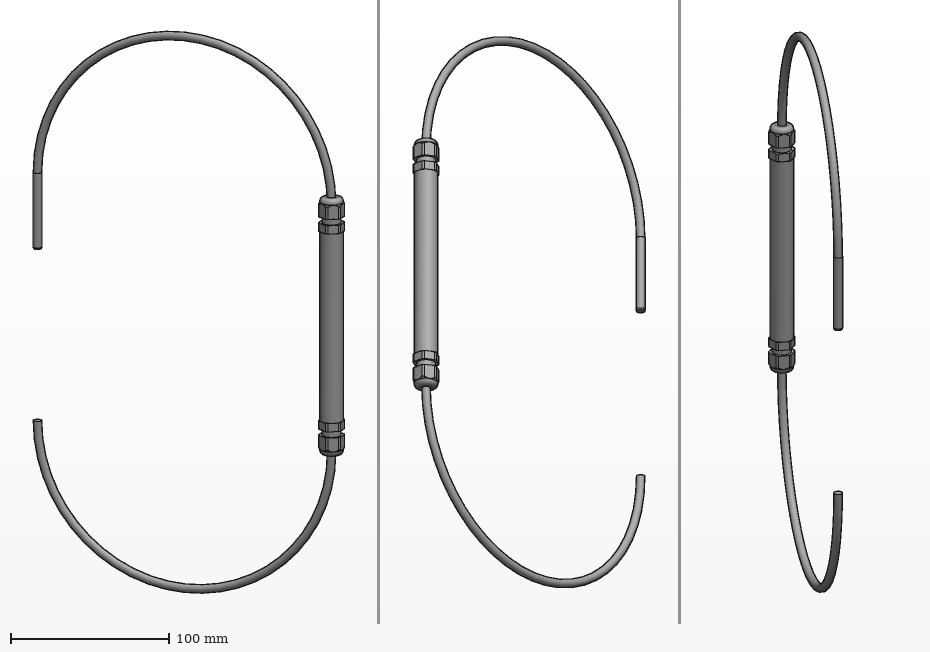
import cadquery as cq

loop_radius = 100.0
cable_diameter = 5.5
overall_height = 368.7
arc_center_z = overall_height / 2 - loop_radius - cable_diameter / 2

sleeve_diameter = 6.0
sleeve_length = 50.0
sleeve_end_diameter = 5.0
sleeve_chamfer_height = 1.0

tube_diameter = 15.0
tube_length = 124.5
tube_center_z = 2.0

across_flats = tube_diameter
corner_diameter = 16.5
base_nut_height = 5.5
neck_diameter = 12.0
neck_height = 4.0
cap_nut_height = 9.2
nut_chamfer_height = 1.0
cap_height = 3.7
cap_face_diameter = 9.0
cap_rounding = (across_flats - cap_face_diameter) / 2


def half_loop(side):
    """Half-circle cable; side is +1 for the upper cable and -1 for the lower one."""
    end_z = side * arc_center_z
    path = (
        cq.Workplane("XZ")
        .moveTo(-loop_radius, end_z)
        .threePointArc((0, side * (arc_center_z + loop_radius)), (loop_radius, end_z))
    )
    return (
        cq.Workplane("XY", origin=(-loop_radius, 0, end_z))
        .circle(cable_diameter / 2)
        .sweep(path)
    )


def make_sleeve():
    """Round sleeve hanging from the end of the upper cable, chamfered at its lower end."""
    return (
        cq.Workplane("XY", origin=(-loop_radius, 0, arc_center_z))
        .circle(sleeve_diameter / 2)
        .extrude(-sleeve_length)
        .faces("<Z")
        .chamfer(sleeve_chamfer_height, (sleeve_diameter - sleeve_end_diameter) / 2)
    )


def make_tube():
    """Round tube between the two glands."""
    return (
        cq.Workplane("XY", origin=(loop_radius, 0, tube_center_z - tube_length / 2))
        .circle(tube_diameter / 2)
        .extrude(tube_length)
    )


def hex_nut(bottom_z, height):
    """Hexagon with flats facing X and its corners turned down to the corner diameter."""
    hexagon = (
        cq.Workplane("XY")
        .workplane(offset=bottom_z)
        .polygon(6, across_flats, circumscribed=True)
        .extrude(height)
    )
    return hexagon.intersect(disc(bottom_z, height, corner_diameter))


def disc(bottom_z, height, diameter):
    """Cylinder about the Z axis."""
    return cq.Workplane("XY").workplane(offset=bottom_z).circle(diameter / 2).extrude(height)


def make_gland():
    """Gland on the Z axis: base nut on Z = 0, neck, cap nut and rounded cap pointing up."""
    neck_z = base_nut_height
    cap_nut_z = neck_z + neck_height
    cap_z = cap_nut_z + cap_nut_height

    base_nut = hex_nut(0, base_nut_height)
    neck = disc(neck_z, neck_height, neck_diameter)
    chamfered_blank = (
        disc(cap_nut_z, cap_nut_height, corner_diameter)
        .faces(">Z")
        .chamfer(nut_chamfer_height, (corner_diameter - across_flats) / 2)
    )
    cap_nut = hex_nut(cap_nut_z, cap_nut_height).intersect(chamfered_blank)
    cap = disc(cap_z, cap_height, across_flats).faces(">Z").edges().fillet(cap_rounding)
    return base_nut.union(neck).union(cap_nut).union(cap)


def place_gland(side, cable):
    """Gland on the upper (+1) or lower (-1) tube end, recessed for the end of its cable."""
    gland = make_gland()
    if side < 0:
        gland = gland.mirror("XY")
    gland = gland.translate((loop_radius, 0, tube_center_z + side * tube_length / 2))
    return gland.cut(cable)


upper_cable = half_loop(1)
lower_cable = half_loop(-1)
sleeve = make_sleeve()
tube = make_tube()

glands = []
for side, cable in ((1, upper_cable), (-1, lower_cable)):
    glands.append(place_gland(side, cable).val())

result = cq.Compound.makeCompound(
    [upper_cable.val(), lower_cable.val(), sleeve.val(), tube.val(), *glands]
)